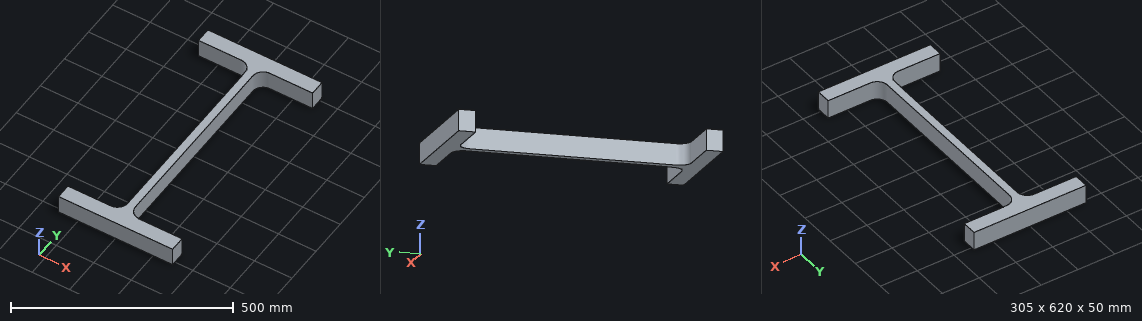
import cadquery as cq

section_depth = 620.0
flange_width = 305.0
flange_thickness = 39.5
web_thickness = 21.0
root_radius = 27.0
length = 50.0

flange_offset = (section_depth - flange_thickness) / 2

beam = cq.Workplane("XY").rect(web_thickness, section_depth).extrude(length)

flanges = (
    cq.Workplane("XY")
    .pushPoints([(0, -flange_offset), (0, flange_offset)])
    .rect(flange_width, flange_thickness)
    .extrude(length)
)
beam = beam.union(flanges)

inner_corners = cq.selectors.BoxSelector(
    (-web_thickness, -flange_offset, 0),
    (web_thickness, flange_offset, length),
)
result = beam.edges("|Z").edges(inner_corners).fillet(root_radius)